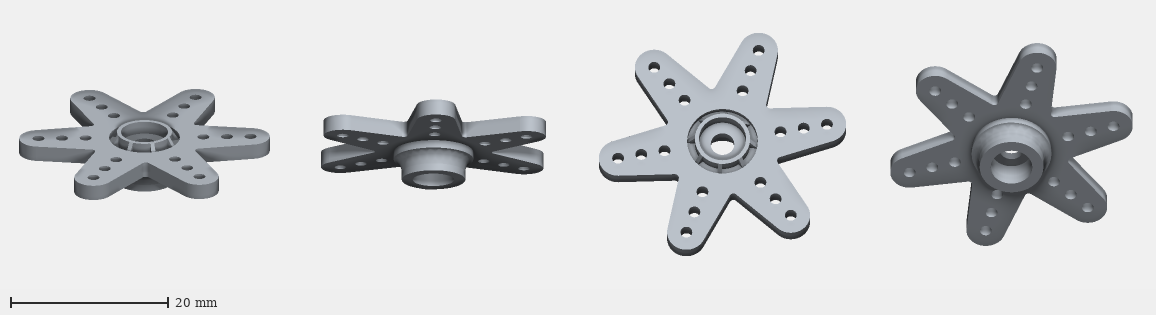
import cadquery as cq
import math

ARM_COUNT = 6
ARM_PITCH = 360 / ARM_COUNT
FIRST_ARM_ANGLE = 90
TIP_REACH = 15.95
TIP_RADIUS = 2.45
ARM_TAPER = 8.3
CROTCH_RADIUS = 0.5
PLATE_THICKNESS = 2.0

PIN_HOLE_DIAMETER = 1.5
PIN_HOLE_RADII = (7.5, 10.5, 13.5)

COLLAR_DIAMETER = 7.02
COLLAR_RISE = 0.75
GROOVE_DIAMETER = 9.0
GROOVE_DEPTH = 0.8
GUSSET_COUNT = 8
GUSSET_WIDTH = 0.55

FLANGE_DIAMETER = 10.15
FLANGE_THICKNESS = 1.0
HUB_DIAMETER = 8.1
FLARE_HEIGHT = 1.8
HUB_FOOT_HEIGHT = 0.93

SCREW_HEAD_DIAMETER = 6.0
SCREW_HEAD_DEPTH = 1.65
SCREW_HOLE_DIAMETER = 3.0
WEB_THICKNESS = 1.2
SHAFT_BORE_DIAMETER = 5.3

FLARE_BOTTOM = HUB_FOOT_HEIGHT
FLANGE_BOTTOM = FLARE_BOTTOM + FLARE_HEIGHT
PLATE_BOTTOM = FLANGE_BOTTOM + FLANGE_THICKNESS
PLATE_TOP = PLATE_BOTTOM + PLATE_THICKNESS
COLLAR_TOP = PLATE_TOP + COLLAR_RISE
GROOVE_FLOOR = PLATE_TOP - GROOVE_DEPTH
SCREW_SEAT = COLLAR_TOP - SCREW_HEAD_DEPTH
SHAFT_BORE_TOP = SCREW_SEAT - WEB_THICKNESS


def cylinder(diameter, bottom, top):
    """Upright cylinder on the part axis between two levels."""
    return cq.Workplane("XY", origin=(0, 0, bottom)).circle(diameter / 2).extrude(top - bottom)


def polar(radius, angle):
    """Point at a radius and an angle in degrees about the part axis."""
    return (radius * math.cos(math.radians(angle)), radius * math.sin(math.radians(angle)))


def star_plate():
    """Tapered arms with round tips, drawn as one outline with rounded crotches."""
    taper = math.radians(ARM_TAPER)
    tip_center = TIP_REACH - TIP_RADIUS
    tangent_along = tip_center + TIP_RADIUS * math.sin(taper)
    tangent_across = TIP_RADIUS * math.cos(taper)
    tangent_radius = math.hypot(tangent_along, tangent_across)
    tangent_angle = math.degrees(math.atan2(tangent_across, tangent_along))
    edge_offset = TIP_RADIUS + tip_center * math.sin(taper)
    crotch_radius = edge_offset / math.sin(math.radians(ARM_PITCH / 2) + taper)

    outline = cq.Workplane("XY", origin=(0, 0, PLATE_BOTTOM))
    outline = outline.moveTo(*polar(crotch_radius, FIRST_ARM_ANGLE - ARM_PITCH / 2))
    for arm in range(ARM_COUNT):
        axis = FIRST_ARM_ANGLE + arm * ARM_PITCH
        outline = outline.lineTo(*polar(tangent_radius, axis - tangent_angle))
        outline = outline.threePointArc(polar(TIP_REACH, axis), polar(tangent_radius, axis + tangent_angle))
        outline = outline.lineTo(*polar(crotch_radius, axis + ARM_PITCH / 2))
    plate = outline.close().extrude(PLATE_THICKNESS)

    crotch_reach = crotch_radius + CROTCH_RADIUS
    crotch_edges = cq.selectors.BoxSelector(
        (-crotch_reach, -crotch_reach, PLATE_BOTTOM), (crotch_reach, crotch_reach, PLATE_TOP)
    )
    plate = plate.edges("|Z").edges(crotch_edges).fillet(CROTCH_RADIUS)

    hole_points = [
        polar(radius, FIRST_ARM_ANGLE + arm * ARM_PITCH)
        for arm in range(ARM_COUNT)
        for radius in PIN_HOLE_RADII
    ]
    return plate.faces(">Z").workplane(origin=(0, 0, 0)).pushPoints(hole_points).hole(PIN_HOLE_DIAMETER)


def hub():
    """Revolved hub whose side flares in a quarter ellipse up to the flange."""
    hub_radius = HUB_DIAMETER / 2
    flange_radius = FLANGE_DIAMETER / 2
    return (
        cq.Workplane("XZ")
        .lineTo(hub_radius, 0)
        .lineTo(hub_radius, FLARE_BOTTOM)
        .ellipseArc(flange_radius - hub_radius, FLARE_HEIGHT, 90, 180, sense=-1)
        .lineTo(flange_radius, PLATE_BOTTOM)
        .lineTo(0, PLATE_BOTTOM)
        .close()
        .revolve(360, (0, 0), (0, 1))
    )


def gussets():
    """Thin triangular ribs from the collar top down to the outer foot of the groove."""
    inner = SCREW_HEAD_DIAMETER / 2
    rib = (
        cq.Workplane("XZ")
        .moveTo(inner, GROOVE_FLOOR)
        .lineTo(GROOVE_DIAMETER / 2, GROOVE_FLOOR)
        .lineTo(COLLAR_DIAMETER / 2, COLLAR_TOP)
        .lineTo(inner, COLLAR_TOP)
        .close()
        .extrude(GUSSET_WIDTH / 2, both=True)
    )
    ribs = rib
    for index in range(1, GUSSET_COUNT):
        ribs = ribs.union(rib.rotate((0, 0, 0), (0, 0, 1), index * 360 / GUSSET_COUNT))
    return ribs


body = star_plate().union(hub())
body = body.cut(cylinder(GROOVE_DIAMETER, GROOVE_FLOOR, PLATE_TOP))
body = body.union(cylinder(COLLAR_DIAMETER, GROOVE_FLOOR, COLLAR_TOP)).union(gussets())
body = body.cut(cylinder(SCREW_HEAD_DIAMETER, SCREW_SEAT, COLLAR_TOP))
body = body.cut(cylinder(SCREW_HOLE_DIAMETER, SHAFT_BORE_TOP, SCREW_SEAT))
result = body.cut(cylinder(SHAFT_BORE_DIAMETER, 0, SHAFT_BORE_TOP))